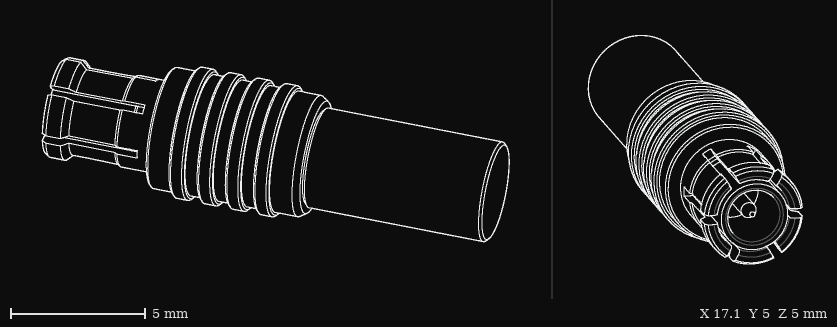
import cadquery as cq

total_length = 17.1
body_start = 4.17
body_end = 10.12

lip_radius = 1.9
lip_length = 0.74
lip_chamfer_length = 0.17
lip_chamfer_depth = 0.1
lip_ramp_length = 0.25
neck_front_radius = 1.66
neck_rear_radius = 1.68
neck_end = 2.79
collar_radius = 1.75
collar_ramp_length = 0.1
slot_count = 6
slot_width = 0.36
slot_length = 3.68
slot_overcut = 0.17

finger_bore_radius = 1.4
finger_mouth_round = 0.17
sleeve_radius = 1.28
gap_depth = 3.35
gap_cone_length = 0.1

bore_radius = 1.01
bore_mouth_round = 0.1
bore_depth = 3.25
pin_radius = 0.29
pin_tip_radius = 0.1
pin_tip_length = 0.55
pin_start = 0.3

body_radius = 2.3
body_front_chamfer = 0.09
body_rear_taper_length = 0.25
body_rear_taper_depth = 0.17
rib_radius = 2.5
rib_width = 0.6
rib_chamfer = 0.09
rib_count = 4
rib_pitch = 1.1
first_rib_start = 5.11

tube_radius = 1.9
tube_chamfer = 0.1


def revolve_outline(outline):
    """Close an outline drawn in (x, radius) on the XZ plane and turn it about the X axis."""
    return outline.close().revolve(360, (0, 0, 0), (1, 0, 0))


def revolve_points(points):
    """Turn a straight-sided (x, radius) outline about the X axis."""
    return revolve_outline(cq.Workplane("XZ").polyline(points))


def chamfered_cylinder(start, end, radius, chamfer):
    """Solid cylinder along X with equal-leg chamfers on its two rims."""
    return revolve_points([
        (start, 0),
        (start, radius - chamfer),
        (start + chamfer, radius),
        (end - chamfer, radius),
        (end, radius - chamfer),
        (end, 0),
    ])


def make_collar():
    """Collar with a raised lip, a slightly tapered neck and a cylindrical root."""
    return revolve_points([
        (0, 0),
        (0, lip_radius - lip_chamfer_depth),
        (lip_chamfer_length, lip_radius),
        (lip_length, lip_radius),
        (lip_length + lip_ramp_length, neck_front_radius),
        (neck_end, neck_rear_radius),
        (neck_end + collar_ramp_length, collar_radius),
        (body_start, collar_radius),
        (body_start, 0),
    ])


def make_slots():
    """Radial slots that split the collar into fingers, leaving the core intact."""
    slots = cq.Workplane("XY")
    for index in range(slot_count):
        slot = (
            cq.Workplane("XY")
            .box(slot_length, lip_radius + slot_overcut, slot_width, centered=(False, False, True))
            .rotate((0, 0, 0), (1, 0, 0), index * 360 / slot_count)
        )
        slots = slots.add(slot)
    core = cq.Workplane("YZ").circle(finger_bore_radius).extrude(slot_length)
    return slots.combine().cut(core)


def make_gap():
    """Ring-shaped gap with a rounded mouth on the fingers and a conical floor."""
    outline = (
        cq.Workplane("XZ")
        .moveTo(0, sleeve_radius)
        .lineTo(0, finger_bore_radius + finger_mouth_round)
        .radiusArc((finger_mouth_round, finger_bore_radius), -finger_mouth_round)
        .lineTo(gap_depth, finger_bore_radius)
        .lineTo(gap_depth - gap_cone_length, sleeve_radius)
    )
    return revolve_outline(outline)


def make_bore():
    """Blind bore of the inner sleeve with a rounded mouth."""
    outline = (
        cq.Workplane("XZ")
        .lineTo(0, bore_radius + bore_mouth_round)
        .radiusArc((bore_mouth_round, bore_radius), -bore_mouth_round)
        .lineTo(bore_depth, bore_radius)
        .lineTo(bore_depth, 0)
    )
    return revolve_outline(outline)


def make_pin():
    """Centre pin with a blunt conical tip, rooted in the bore floor."""
    return revolve_points([
        (pin_start, 0),
        (pin_start, pin_tip_radius),
        (pin_start + pin_tip_length, pin_radius),
        (body_start, pin_radius),
        (body_start, 0),
    ])


def make_body():
    """Main barrel with a small front chamfer and a longer rear taper."""
    return revolve_points([
        (body_start, 0),
        (body_start, body_radius - body_front_chamfer),
        (body_start + body_front_chamfer, body_radius),
        (body_end - body_rear_taper_length, body_radius),
        (body_end, body_radius - body_rear_taper_depth),
        (body_end, 0),
    ])


result = make_collar().union(make_body())

for rib_index in range(rib_count):
    rib_start = first_rib_start + rib_index * rib_pitch
    rib = chamfered_cylinder(rib_start, rib_start + rib_width, rib_radius, rib_chamfer)
    result = result.union(rib)

result = result.union(chamfered_cylinder(body_end, total_length, tube_radius, tube_chamfer))
result = result.cut(make_slots()).cut(make_gap()).cut(make_bore()).union(make_pin())